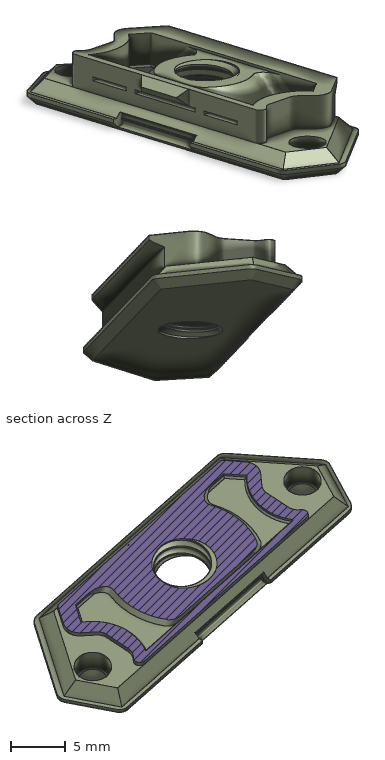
import cadquery as cq
import math

PLATE_BACK_Y = 6.69
PLATE_FRONT_Y = -6.69
PLATE_TIP = (-18.78, -1.26)
PLATE_BACK_CORNER = (-13.08, PLATE_BACK_Y)
PLATE_FRONT_CORNER = (-16.03, PLATE_FRONT_Y)
SLANT_RUN = (PLATE_BACK_CORNER[0] - PLATE_TIP[0]) / (PLATE_BACK_CORNER[1] - PLATE_TIP[1])
PLATE_CORNER_RADIUS = 1.0
RIM_TOP_Z = 1.2
RIM_CHAMFER_HEIGHT = 0.8
RIM_CHAMFER_INSET = 0.85
BEVEL_FOOT_INSETS = (0.36, 0.55, 0.37, 0.38)
BEVEL_HEAD_INSETS = (1.47, 1.79, 1.52, 1.5)
PLATE_TOP_Z = 2.4

END_HOLE_X = 14.63
END_HOLE_Y = -1.81
END_HOLE_DIAMETER = 3.4
END_HOLE_FLOOR_Z = 0.2
FRUSTUM_TOP_DIAMETER = 2.65
FRUSTUM_HEIGHT = 0.25

TOP_Z = 5.61
CAVITY_BACK_Y = 3.94
CAVITY_FRONT_Y = -4.42
CAVITY_FLOOR_Z = PLATE_TOP_Z
CAVITY_FLOOR_CHAMFER = 0.18
END_ARC_RADIUS = 5.08
CAVITY_CORNER_Y = 2.23
FRAME_SLANT_INSET = 2.2
FRAME_NOTCH_X = 11.18
FRAME_NOTCH_HALF_WIDTH = 1.82
FRAME_SIDE_RADIUS = 1.55
FRAME_NOTCH_RADIUS = 1.27
FRAME_FRONT_RADIUS = 0.6
FRAME_BACK_Y = 5.2
FRAME_FRONT_Y = -5.2
LIP_Y = 6.43
LIP_EDGE_Z = 5.2
LIP_KNEE_Y = 6.15
LIP_KNEE_Z = 4.95
LIP_ROOT_Z = 4.35

BOSS_TOP_Z = 5.36
BOSS_TOP_RADIUS = 4.57
BOSS_BASE_RADIUS = 7.6
BOSS_BACK_FILLET = 1.2
BOSS_FRONT_TOP_Y = -3.83
BOSS_FRONT_FOOT_Y = -4.22
BOSS_FRONT_FILLET = 1.0
THREAD_MAJOR_DIAMETER = 6.45
THREAD_MINOR_DIAMETER = 5.27
THREAD_PITCH = 1.0
THREAD_ROOT_WIDTH = 0.2
THREAD_MOUTH_WIDTH = 0.9

LATCH_HALF_LENGTH = 2.97
LATCH_DEPTH = 0.8
LATCH_BOTTOM_Z = 3.98
SLOT_BOTTOM_Z = 3.6
SLOT_TOP_Z = 3.96
MIDDLE_SLOT_HALF_LENGTH = 3.75
SIDE_SLOT_INNER_X = 4.87
SIDE_SLOT_OUTER_X = 8.98

NOTCH_X = -0.24
NOTCH_HALF_LENGTH = 4.77
NOTCH_BOTTOM_Z = 0.36
NOTCH_TOP_Z = 1.67
NOTCH_BACK_Y = -5.5
NOTCH_FILLET = 0.36
NOTCH_RIB_Y = -5.65
NOTCH_RIB_BOTTOM_Z = 0.92
NOTCH_RIB_TOP_Z = 1.06

HALF_SPAN = 20.0
CLEARANCE = 1.0
EPSILON = 0.01


def box(x0, x1, y0, y1, z0, z1):
    return cq.Workplane("XY").box(x1 - x0, y1 - y0, z1 - z0, centered=False).translate((x0, y0, z0))


def yz_prism(points, half_length):
    """Extrude a (y, z) polygon symmetrically along X."""
    return cq.Workplane("YZ").polyline(points).close().extrude(half_length, both=True)


def mirrored(left_points):
    """Close a left-hand chain of points with its mirror image across the YZ plane."""
    return left_points + [(-x, y) for x, y in reversed(left_points)]


def slanted_line_x(start, end, inset, y):
    """X at height y on the line start-end after shifting it sideways, toward +X, by inset."""
    run = (end[0] - start[0]) / (end[1] - start[1])
    return start[0] + run * (y - start[1]) + inset * math.hypot(1, run)


def plate_points(back=0.0, slanted_back=0.0, slanted_front=0.0, front=0.0):
    """Plate corners with each kind of side moved inward by its own inset."""
    def upper_x(y):
        return slanted_line_x(PLATE_TIP, PLATE_BACK_CORNER, slanted_back, y)

    def lower_x(y):
        return slanted_line_x(PLATE_TIP, PLATE_FRONT_CORNER, slanted_front, y)

    back_y = PLATE_BACK_Y - back
    front_y = PLATE_FRONT_Y + front
    gap_at_back = upper_x(back_y) - lower_x(back_y)
    gap_at_front = upper_x(front_y) - lower_x(front_y)
    tip_y = back_y - gap_at_back * (front_y - back_y) / (gap_at_front - gap_at_back)
    return mirrored([(upper_x(back_y), back_y), (upper_x(tip_y), tip_y), (lower_x(front_y), front_y)])


def make_plate():
    rim = cq.Workplane("XY").polyline(plate_points()).close().extrude(RIM_TOP_Z)
    rim = rim.edges("|Z").fillet(PLATE_CORNER_RADIUS)
    rim = rim.faces("<Z").chamfer(RIM_CHAMFER_HEIGHT, RIM_CHAMFER_INSET)
    bevel = (
        cq.Workplane("XY").workplane(offset=RIM_TOP_Z)
        .polyline(plate_points(*BEVEL_FOOT_INSETS)).close()
        .workplane(offset=PLATE_TOP_Z - RIM_TOP_Z)
        .polyline(plate_points(*BEVEL_HEAD_INSETS)).close()
        .loft(ruled=True)
    )
    return rim.union(bevel)


def make_frame():
    slant_back_x = slanted_line_x(PLATE_TIP, PLATE_BACK_CORNER, FRAME_SLANT_INSET, LIP_Y)
    recess_back = (-FRAME_NOTCH_X, END_HOLE_Y + FRAME_NOTCH_HALF_WIDTH)
    recess_front = (-FRAME_NOTCH_X, END_HOLE_Y - FRAME_NOTCH_HALF_WIDTH)
    flank_sum = recess_back[0] + recess_back[1]
    side_y = (flank_sum - slant_back_x + SLANT_RUN * LIP_Y) / (1 + SLANT_RUN)
    side_corner = (flank_sum - side_y, side_y)
    front_corner = (recess_front[0] - (recess_front[1] - FRAME_FRONT_Y), FRAME_FRONT_Y)
    points = mirrored([(slant_back_x, LIP_Y), side_corner, recess_back, recess_front, front_corner])
    frame = (
        cq.Workplane("XY").workplane(offset=PLATE_TOP_Z)
        .polyline(points).close().extrude(TOP_Z - PLATE_TOP_Z)
    )
    middle_z = (PLATE_TOP_Z + TOP_Z) / 2
    for corner, radius in (
        (side_corner, FRAME_SIDE_RADIUS),
        (recess_back, FRAME_NOTCH_RADIUS),
        (recess_front, FRAME_NOTCH_RADIUS),
        (front_corner, FRAME_FRONT_RADIUS),
    ):
        for side in (-1, 1):
            upright = cq.selectors.NearestToPointSelector((side * corner[0], corner[1], middle_z))
            frame = frame.edges("|Z").edges(upright).fillet(radius)
    profile = [
        (FRAME_FRONT_Y, PLATE_TOP_Z),
        (FRAME_BACK_Y, PLATE_TOP_Z),
        (FRAME_BACK_Y, LIP_ROOT_Z),
        (LIP_KNEE_Y, LIP_KNEE_Z),
        (LIP_Y, LIP_EDGE_Z),
        (LIP_Y, TOP_Z),
        (FRAME_FRONT_Y, TOP_Z),
    ]
    return frame.intersect(yz_prism(profile, HALF_SPAN))


def cavity_prism():
    """Straight-walled cavity, its slanted sides parallel to the plate's."""
    def arc_x(y):
        return END_HOLE_X - math.sqrt(END_ARC_RADIUS ** 2 - (y - END_HOLE_Y) ** 2)

    corner_x = arc_x(CAVITY_CORNER_Y)
    back_x = corner_x - SLANT_RUN * (CAVITY_BACK_Y - CAVITY_CORNER_Y)
    front_x = arc_x(CAVITY_FRONT_Y)
    arc_middle_x = END_HOLE_X - END_ARC_RADIUS
    return (
        cq.Workplane("XY").workplane(offset=CAVITY_FLOOR_Z)
        .moveTo(-back_x, CAVITY_BACK_Y)
        .lineTo(-corner_x, CAVITY_CORNER_Y)
        .threePointArc((-arc_middle_x, END_HOLE_Y), (-front_x, CAVITY_FRONT_Y))
        .lineTo(front_x, CAVITY_FRONT_Y)
        .threePointArc((arc_middle_x, END_HOLE_Y), (corner_x, CAVITY_CORNER_Y))
        .lineTo(back_x, CAVITY_BACK_Y)
        .close()
        .extrude(TOP_Z - CAVITY_FLOOR_Z)
    )


def make_boss(base_z, top_z):
    """Flared boss with its front sliced off, its faces carried on from base_z to top_z."""
    nominal_height = BOSS_TOP_Z - CAVITY_FLOOR_Z
    flare = (BOSS_BASE_RADIUS - BOSS_TOP_RADIUS) / nominal_height
    lean = (BOSS_FRONT_TOP_Y - BOSS_FRONT_FOOT_Y) / nominal_height

    def radius(z):
        return BOSS_TOP_RADIUS + flare * (BOSS_TOP_Z - z)

    def front_y(z):
        return BOSS_FRONT_TOP_Y - lean * (BOSS_TOP_Z - z)

    boss = cq.Workplane(
        cq.Solid.makeCone(radius(base_z), radius(top_z), top_z - base_z, cq.Vector(0, 0, base_z)))
    behind_front_flat = [
        (front_y(base_z), base_z),
        (radius(base_z), base_z),
        (radius(base_z), top_z),
        (front_y(top_z), top_z),
    ]
    boss = boss.intersect(yz_prism(behind_front_flat, HALF_SPAN))
    front_edges = cq.selectors.BoxSelector(
        (-HALF_SPAN, front_y(base_z), base_z + EPSILON), (HALF_SPAN, front_y(top_z), top_z - EPSILON))
    return boss.edges(front_edges).edges("%HYPERBOLA").fillet(BOSS_FRONT_FILLET)


def make_cavity():
    """Space inside the frame: what surrounds the boss, and everything above it."""
    base_z = CAVITY_FLOOR_Z - CLEARANCE
    block = box(-HALF_SPAN, HALF_SPAN, PLATE_FRONT_Y, CAVITY_BACK_Y, base_z, TOP_Z)
    around = block.cut(make_boss(base_z, TOP_Z))
    around = around.faces(">Y").edges("%HYPERBOLA").fillet(BOSS_BACK_FILLET)
    prism = cavity_prism()
    around = around.intersect(prism.faces("<Z").chamfer(CAVITY_FLOOR_CHAMFER))
    above = prism.intersect(box(-HALF_SPAN, HALF_SPAN, PLATE_FRONT_Y, PLATE_BACK_Y, BOSS_TOP_Z, TOP_Z))
    return around.union(above)


def make_thread():
    """Helical groove along the bore; it breaks out through the boss top on the +Y side."""
    minor = THREAD_MINOR_DIAMETER / 2
    major = THREAD_MAJOR_DIAMETER / 2
    turns = math.ceil(BOSS_TOP_Z / THREAD_PITCH) + 2
    overlap = 0.1
    groove_profile = [
        (minor - overlap, -THREAD_MOUTH_WIDTH / 2),
        (major, -THREAD_ROOT_WIDTH / 2),
        (major, THREAD_ROOT_WIDTH / 2),
        (minor - overlap, THREAD_MOUTH_WIDTH / 2),
    ]
    helix = cq.Wire.makeHelix(THREAD_PITCH, turns * THREAD_PITCH, minor)
    groove = cq.Workplane("XZ").polyline(groove_profile).close().sweep(helix, isFrenet=True)
    start_z = BOSS_TOP_Z - (turns - 1) * THREAD_PITCH
    groove = groove.rotate((0, 0, 0), (0, 0, 1), 90).translate((0, 0, start_z))
    return groove.intersect(cq.Workplane("XY").circle(major * 2).extrude(TOP_Z))


def make_end_hole(x):
    radius = END_HOLE_DIAMETER / 2
    hole = (
        cq.Workplane("XY").workplane(offset=END_HOLE_FLOOR_Z)
        .circle(radius).extrude(PLATE_TOP_Z - END_HOLE_FLOOR_Z)
    )
    frustum = cq.Solid.makeCone(
        radius, FRUSTUM_TOP_DIAMETER / 2, FRUSTUM_HEIGHT, cq.Vector(0, 0, END_HOLE_FLOOR_Z))
    return hole.cut(cq.Workplane(frustum)).translate((x, END_HOLE_Y, 0))


def make_latch():
    """Hipped ridge on the front wall, all four faces sloping to a short crest."""
    height = TOP_Z - LATCH_BOTTOM_Z
    ridge = [
        (FRAME_FRONT_Y, LATCH_BOTTOM_Z),
        (FRAME_FRONT_Y - LATCH_DEPTH, LATCH_BOTTOM_Z + height / 2),
        (FRAME_FRONT_Y, TOP_Z),
    ]
    crest_half = LATCH_HALF_LENGTH - LATCH_DEPTH
    hip = (
        cq.Workplane("XY").workplane(offset=LATCH_BOTTOM_Z)
        .polyline([
            (-LATCH_HALF_LENGTH, FRAME_FRONT_Y),
            (-crest_half, FRAME_FRONT_Y - LATCH_DEPTH),
            (crest_half, FRAME_FRONT_Y - LATCH_DEPTH),
            (LATCH_HALF_LENGTH, FRAME_FRONT_Y),
        ])
        .close().extrude(height)
    )
    return yz_prism(ridge, LATCH_HALF_LENGTH).intersect(hip)


def make_slot(x0, x1):
    return box(x0, x1, FRAME_FRONT_Y, CAVITY_FRONT_Y, SLOT_BOTTOM_Z, SLOT_TOP_Z)


def make_notch():
    """Round-cornered groove with a thin rib running along its back."""
    left = NOTCH_X - NOTCH_HALF_LENGTH
    right = NOTCH_X + NOTCH_HALF_LENGTH
    notch = box(left, right, PLATE_FRONT_Y, NOTCH_BACK_Y, NOTCH_BOTTOM_Z, NOTCH_TOP_Z)
    notch = notch.faces(">Y").edges("|X").fillet(NOTCH_FILLET)
    return notch.cut(box(left, right, NOTCH_RIB_Y, NOTCH_BACK_Y, NOTCH_RIB_BOTTOM_Z, NOTCH_RIB_TOP_Z))


result = make_plate().union(make_frame()).union(make_latch())
result = result.cut(make_cavity())
result = result.cut(cq.Workplane("XY").circle(THREAD_MINOR_DIAMETER / 2).extrude(TOP_Z))
result = result.cut(make_thread())
for side in (-1, 1):
    result = result.cut(make_end_hole(side * END_HOLE_X))
result = result.cut(make_slot(-SIDE_SLOT_OUTER_X, -SIDE_SLOT_INNER_X))
result = result.cut(make_slot(-MIDDLE_SLOT_HALF_LENGTH, MIDDLE_SLOT_HALF_LENGTH))
result = result.cut(make_slot(SIDE_SLOT_INNER_X, SIDE_SLOT_OUTER_X))
result = result.cut(make_notch())